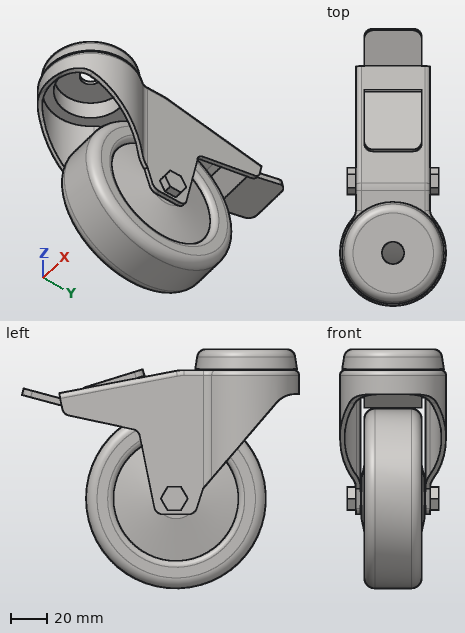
import cadquery as cq
import math


overall_height = 133.0

wheel_radius = 100.0 / 2
wheel_half_width = 16.0
tread_round = 6.0
rim_radius = 38.0
rim_round = 3.4
hub_radius = 11.1
hub_half_width = 17.5

sheet = 2.6
leg_half_width = 20.6
swivel_y = -39.0
swivel_radius = 59.0 / 2
fork_front_y = swivel_y - swivel_radius
blend_radius = 7.0
fork_top_z = 71.3
top_edge_round = 3.0
bend_y = -2.2
bend_round = 22.3
plate_rear = (64.9, 58.5)
skirt_rear = (62.5, 46.7)
skirt_leg_corner = (20.6, 37.7)
leg_bottom_z = -8.8
leg_bottom_rear_y = 11.2
leg_bottom_front_y = -10.5
leg_front = (-15.1, 5.5)
collar_bottom = (-60.0, 58.0)
corner_round = 5.0
collar_round = 13.9
trim_margin = 4.6
fork_trim_rear_y = plate_rear[0] + trim_margin

cap_gap = 0.5
cap_neck_radius = 26.2
cap_base_radius = 28.3
cap_shoulder_radius = 27.3
cap_shoulder_z = 78.7
cap_flat_radius = 22.3
cap_top_z = overall_height - wheel_radius
cap_wall = 2.3
cap_hole_radius = 6.2
cap_bore_radius = 20.5

bolt_y = 1.0
shank_radius = 4.0
hex_across_flats = 13.0
head_end_x = 25.4

pedal_half_width = wheel_half_width
pedal_corner_round = 5.0
pedal_thickness = 3.9
tip_top = (84.6, 61.2)
tip_angle = 15.0
release_top = (18.5, 71.8)
release_angle = 17.3
release_heel_y = 50.5
web_angle = 36.0
pedal_low_z = 50.4


def extrude_along_x(sketch, half_width):
    return sketch.extrude(half_width, both=True)


def make_wheel():
    disc_edge_radius = rim_radius - rim_round
    disc_edge_x = wheel_half_width - rim_round
    diagonal = math.sqrt(0.5)
    tread_half_width = wheel_half_width - tread_round
    half = (
        cq.Workplane("XY")
        .moveTo(0, 0)
        .lineTo(hub_half_width, 0)
        .lineTo(hub_half_width, hub_radius)
        .lineTo(disc_edge_x, disc_edge_radius)
        .threePointArc(
            (wheel_half_width - rim_round * (1 - diagonal), rim_radius - rim_round * diagonal),
            (wheel_half_width, rim_radius),
        )
        .lineTo(wheel_half_width, wheel_radius - tread_round)
        .threePointArc(
            (tread_half_width + tread_round * diagonal, wheel_radius - tread_round * (1 - diagonal)),
            (tread_half_width, wheel_radius),
        )
        .lineTo(0, wheel_radius)
        .close()
        .revolve(360, (0, 0, 0), (1, 0, 0))
    )
    return half.union(half.mirror("YZ"))


def fork_plan(inset):
    """Plan prism of the fork, moved inward by inset; it runs from wheel bottom to fork top."""
    half_width = leg_half_width - inset
    radius = swivel_radius - inset
    centre_distance = swivel_radius + blend_radius
    centre_x = leg_half_width + blend_radius
    centre_y = swivel_y + math.sqrt(centre_distance**2 - centre_x**2)
    blend = blend_radius + inset
    end_angle = math.atan2(swivel_y - centre_y, -centre_x) % (2 * math.pi)
    middle_angle = (math.pi + end_angle) / 2
    end_x = centre_x + blend * math.cos(end_angle)
    end_y = centre_y + blend * math.sin(end_angle)
    middle_x = centre_x + blend * math.cos(middle_angle)
    middle_y = centre_y + blend * math.sin(middle_angle)
    return (
        cq.Workplane("XY", origin=(0, 0, -wheel_radius))
        .moveTo(half_width, fork_trim_rear_y)
        .lineTo(half_width, centre_y)
        .threePointArc((middle_x, middle_y), (end_x, end_y))
        .threePointArc((0, swivel_y - radius), (-end_x, end_y))
        .threePointArc((-middle_x, middle_y), (-half_width, centre_y))
        .lineTo(-half_width, fork_trim_rear_y)
        .close()
        .extrude(fork_top_z + wheel_radius)
    )


def round_side_corner(body, corner, radius):
    edge = cq.selectors.NearestToPointSelector((0, *corner))
    return body.edges("|X").edges(edge).fillet(radius)


def side_prism():
    """Side outline of the fork, extruded across its full width."""
    front_y = fork_front_y - trim_margin
    bend = (bend_y, fork_top_z)
    bottom_rear = (leg_bottom_rear_y, leg_bottom_z)
    bottom_front = (leg_bottom_front_y, leg_bottom_z)
    outline = [
        (front_y, fork_top_z),
        bend,
        plate_rear,
        skirt_rear,
        skirt_leg_corner,
        bottom_rear,
        bottom_front,
        leg_front,
        collar_bottom,
        (front_y, collar_bottom[1]),
    ]
    prism = extrude_along_x(cq.Workplane("YZ").polyline(outline).close(), swivel_radius)
    prism = round_side_corner(prism, bend, bend_round)
    for corner in (skirt_rear, skirt_leg_corner, bottom_rear, bottom_front):
        prism = round_side_corner(prism, corner, corner_round)
    return round_side_corner(prism, collar_bottom, collar_round)


def make_fork():
    outer = fork_plan(0).intersect(side_prism())
    front_top = (0, fork_front_y, fork_top_z)
    front_arc = cq.selectors.NearestToPointSelector(front_top)
    outer = outer.faces(">Z").edges("%CIRCLE").edges(front_arc).fillet(top_edge_round)
    slope = math.atan2(fork_top_z - plate_rear[1], plate_rear[0] - bend_y)
    ceiling_z = fork_top_z - sheet
    ceiling_bend_y = bend_y - sheet * math.tan(slope / 2)
    ceiling = [
        (fork_front_y, -wheel_radius),
        (fork_front_y, ceiling_z),
        (ceiling_bend_y, ceiling_z),
        (fork_trim_rear_y, ceiling_z - (fork_trim_rear_y - ceiling_bend_y) * math.tan(slope)),
        (fork_trim_rear_y, -wheel_radius),
    ]
    under_plate = extrude_along_x(cq.Workplane("YZ").polyline(ceiling).close(), swivel_radius)
    return outer.cut(fork_plan(sheet).intersect(under_plate))


def make_cap():
    return (
        cq.Workplane("XZ", origin=(0, swivel_y, 0))
        .moveTo(0, fork_top_z)
        .lineTo(cap_neck_radius, fork_top_z)
        .lineTo(cap_neck_radius, fork_top_z + cap_gap)
        .lineTo(cap_base_radius, fork_top_z + cap_gap)
        .lineTo(cap_shoulder_radius, cap_shoulder_z)
        .tangentArcPoint((cap_flat_radius, cap_top_z), relative=False)
        .lineTo(0, cap_top_z)
        .close()
        .revolve(360, (0, 0, 0), (0, 1, 0))
    )


def swivel_bore():
    """Bolt hole through the cap and the wider hollow beneath it."""
    hollow_bottom_z = fork_top_z - sheet
    hollow_top_z = cap_top_z - cap_wall
    hollow = (
        cq.Workplane("XY", origin=(0, swivel_y, hollow_bottom_z))
        .circle(cap_bore_radius)
        .extrude(hollow_top_z - hollow_bottom_z)
    )
    hole = (
        cq.Workplane("XY", origin=(0, swivel_y, hollow_top_z))
        .circle(cap_hole_radius)
        .extrude(cap_wall)
    )
    return hollow.union(hole)


def make_bolt():
    across_corners = hex_across_flats / math.cos(math.pi / 6)
    shank_circle = cq.Workplane("YZ").center(bolt_y, 0).circle(shank_radius)
    shank = extrude_along_x(shank_circle, leg_half_width)
    head_start_x = leg_half_width - sheet / 2
    head = (
        cq.Workplane("YZ", origin=(head_start_x, bolt_y, 0))
        .polygon(6, across_corners)
        .extrude(head_end_x - head_start_x)
    )
    return shank.union(head).union(head.mirror("YZ"))


def crossing(first, first_slope, second, second_slope):
    """Point where two sloped lines meet, each given by a (y, z) point and dz/dy."""
    rise = second[1] - first[1] + second_slope * (first[0] - second[0])
    run = rise / (first_slope - second_slope)
    return (first[0] + run, first[1] + first_slope * run)


def make_pedal():
    """Bent plate: press-down tip and release flap joined by a web through the fork plate."""
    tip = math.radians(tip_angle)
    release = math.radians(release_angle)
    tip_slope = math.tan(tip)
    release_slope = -math.tan(release)
    web_slope = -math.tan(math.radians(web_angle))
    tip_bottom = (
        tip_top[0] + pedal_thickness * math.sin(tip),
        tip_top[1] - pedal_thickness * math.cos(tip),
    )
    release_bottom = (
        release_top[0] - pedal_thickness * math.sin(release),
        release_top[1] - pedal_thickness * math.cos(release),
    )
    heel = (release_heel_y, release_top[1] + (release_heel_y - release_top[0]) * release_slope)
    low_point = (tip_bottom[0] + (pedal_low_z - tip_bottom[1]) / tip_slope, pedal_low_z)
    outline = [
        release_top,
        heel,
        crossing(heel, web_slope, tip_top, tip_slope),
        tip_top,
        tip_bottom,
        low_point,
        crossing(low_point, web_slope, release_bottom, release_slope),
        release_bottom,
    ]
    pedal = extrude_along_x(cq.Workplane("YZ").polyline(outline).close(), pedal_half_width)
    for top, bottom in ((tip_top, tip_bottom), (release_top, release_bottom)):
        middle = ((top[0] + bottom[0]) / 2, (top[1] + bottom[1]) / 2)
        for x in (-pedal_half_width, pedal_half_width):
            corner = cq.selectors.NearestToPointSelector((x, *middle))
            pedal = pedal.edges(corner).fillet(pedal_corner_round)
    return pedal


swivel_housing = make_fork().union(make_cap()).cut(swivel_bore())
result = swivel_housing.union(make_pedal()).union(make_wheel()).union(make_bolt())